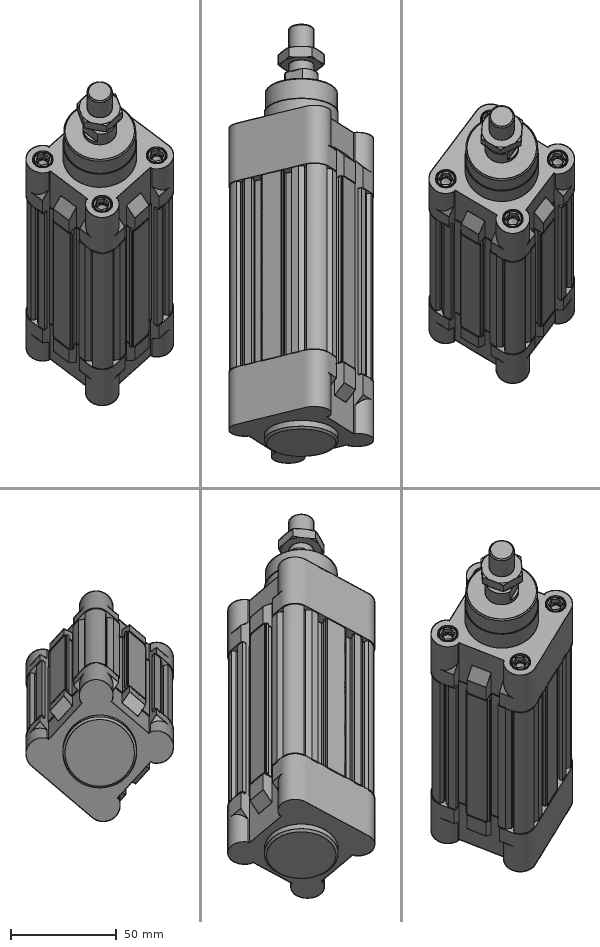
import cadquery as cq
import math

Z_LOWER_CAP = 4.0
CAP_HEIGHT = 29.6
Z_UPPER_CAP_TOP = 159.0
Z_COLLAR_STEP = 169.8
Z_COLLAR_TOP = 180.5
Z_FLATS = 182.5
Z_ROD_SHOULDER = 189.1
Z_NUT = 194.3
NUT_HEIGHT = 5.5
Z_ROD_TOP = 213.0
Z_BARREL = Z_LOWER_CAP + CAP_HEIGHT
Z_BARREL_TOP = Z_UPPER_CAP_TOP - CAP_HEIGHT

CAP_WIDTH = 54.0
CAP_HALF = CAP_WIDTH / 2
BOSS_DIAMETER = 16.0
CORNER_RADIUS = BOSS_DIAMETER / 2
BOSS_CENTRE = CAP_HALF - CORNER_RADIUS
PANEL_HALF = 21.7
PANEL_HALF_WIDTH = 12.0
RIB_WIDTH = 10.0
CAP_FOOT_HEIGHT = 10.6
CLEARANCE = 2.1
RECESSED_SIDES = (0, 90, 270)

COLLAR_DIAMETER = 35.0
COLLAR_TOP_DIAMETER = 34.0
COLLAR_CHAMFER = 0.6
SPIGOT_CHAMFER = 1.0
ROD_DIAMETER = 16.0
ROD_FLATS = 13.0
THREAD_DIAMETER = 12.0
ROD_CHAMFER = 0.6
NUT_ACROSS_FLATS = 19.0
NUT_CHAMFER_WIDTH = 1.3
NUT_CHAMFER_HEIGHT = 0.5

RECESS_DIAMETER = 9.5
RECESS_DEPTH = 1.3
SCREW_DIAMETER = 9.0
SCREW_SUNK = 0.5
SCREW_CHAMFER = 0.5
SOCKET_ACROSS_FLATS = 6.0
SOCKET_DEPTH = 3.5
DRILL_DIAMETER = 5.0
DRILL_DEPTH = 4.3
DRILL_TIP_ANGLE = 118

BARREL_HALF = 26.6
SLOT_FLOOR = 22.2
CENTRE_RIB_HALF = 5.3
LIP = 0.9
LIP_THICKNESS = 2.0
LIP_STEP_WIDTH = 0.9
LIP_STEP_DEPTH = 0.6
SLOT_OUTER = 12.0
BARREL_SIDES = (0, 90, 180, 270)
GROOVE_START = 15.0
SLIT_START = 17.3
SLIT_END = 18.3
GROOVE_END = 19.5
GROOVE_DEPTH = 1.7
SLIT_DEPTH = 3.0


def cylinder(diameter, z_bottom, z_top):
    return cq.Workplane("XY").workplane(offset=z_bottom).circle(diameter / 2).extrude(z_top - z_bottom)


def turned_about_z(shape, angle):
    return shape.rotate((0, 0, 0), (0, 0, 1), angle)


def hexagon_corners(across_flats):
    """Distance across the corners of a hexagon."""
    return across_flats / math.cos(math.radians(30))


def rounded_square(half, radius, z_bottom, z_top):
    block = cq.Workplane("XY").workplane(offset=z_bottom).rect(2 * half, 2 * half).extrude(z_top - z_bottom)
    return block.edges("|Z").fillet(radius)


def recess_above_blocks():
    """Space on the -Y side above the sloping tops of the rib and corner blocks."""
    arc_angle = math.asin((BOSS_CENTRE - PANEL_HALF_WIDTH) / CORNER_RADIUS)
    y_corner = -BOSS_CENTRE - CORNER_RADIUS * math.cos(arc_angle)
    mid_x = BOSS_CENTRE - CORNER_RADIUS * math.sin(arc_angle / 2)
    mid_y = -BOSS_CENTRE - CORNER_RADIUS * math.cos(arc_angle / 2)
    y_clear = -CAP_HALF - CLEARANCE
    column = (
        cq.Workplane("XY")
        .moveTo(-PANEL_HALF_WIDTH, -PANEL_HALF)
        .lineTo(PANEL_HALF_WIDTH, -PANEL_HALF)
        .lineTo(PANEL_HALF_WIDTH, y_corner)
        .threePointArc((mid_x, mid_y), (BOSS_CENTRE, -CAP_HALF))
        .lineTo(BOSS_CENTRE, y_clear)
        .lineTo(-BOSS_CENTRE, y_clear)
        .lineTo(-BOSS_CENTRE, -CAP_HALF)
        .threePointArc((-mid_x, mid_y), (-PANEL_HALF_WIDTH, y_corner))
        .close()
        .extrude(CAP_HEIGHT)
    )
    slope_rise = CAP_HALF - PANEL_HALF
    above_slope = (
        cq.Workplane("YZ")
        .moveTo(y_clear, CAP_FOOT_HEIGHT - CLEARANCE)
        .lineTo(-PANEL_HALF, CAP_FOOT_HEIGHT + slope_rise)
        .lineTo(-PANEL_HALF, CAP_HEIGHT)
        .lineTo(y_clear, CAP_HEIGHT)
        .close()
        .extrude(CAP_HALF, both=True)
    )
    return column.intersect(above_slope)


def upward_cap():
    """End cap standing on Z = 0, its barrel face down."""
    cap = rounded_square(CAP_HALF, CORNER_RADIUS, 0, CAP_HEIGHT)
    above_blocks = recess_above_blocks()
    slot_width = PANEL_HALF_WIDTH - RIB_WIDTH / 2
    slot_centre = (PANEL_HALF_WIDTH + RIB_WIDTH / 2) / 2
    slots = (
        cq.Workplane("XY")
        .pushPoints([(-slot_centre, -CAP_HALF), (slot_centre, -CAP_HALF)])
        .rect(slot_width, 2 * (CAP_HALF - PANEL_HALF))
        .extrude(CAP_HEIGHT)
    )
    for angle in RECESSED_SIDES:
        for cutter in (above_blocks, slots):
            cap = cap.cut(turned_about_z(cutter, angle))
    return cap


def barrel_slot(side):
    """T-slot beside the centre rib of the -Y side, on the +X (1) or -X (-1) half."""
    y_lip_in = BARREL_HALF - LIP_THICKNESS
    y_lip_out = BARREL_HALF - LIP_STEP_DEPTH
    lip_left = CENTRE_RIB_HALF + LIP
    lip_right = SLOT_OUTER - LIP
    points = [
        (CENTRE_RIB_HALF, SLOT_FLOOR),
        (CENTRE_RIB_HALF, y_lip_in),
        (lip_left, y_lip_in),
        (lip_left, y_lip_out),
        (lip_left - LIP_STEP_WIDTH, y_lip_out),
        (lip_left - LIP_STEP_WIDTH, BARREL_HALF),
        (lip_right, BARREL_HALF),
        (lip_right, y_lip_in),
        (SLOT_OUTER, y_lip_in),
        (SLOT_OUTER, SLOT_FLOOR),
    ]
    return extrude_barrel_cut(points, side)


def barrel_groove(side):
    """Shallow groove with a narrow slit in its floor, between the T-slot and the round corner."""
    y_groove = BARREL_HALF - GROOVE_DEPTH
    y_slit = BARREL_HALF - SLIT_DEPTH
    points = [
        (GROOVE_START, BARREL_HALF),
        (SLIT_START, y_groove),
        (SLIT_START, y_slit),
        (SLIT_END, y_slit),
        (SLIT_END, y_groove),
        (GROOVE_END, BARREL_HALF),
    ]
    return extrude_barrel_cut(points, side)


def extrude_barrel_cut(points, side):
    outline = [(side * x, -y) for x, y in points]
    return (
        cq.Workplane("XY")
        .workplane(offset=Z_BARREL)
        .polyline(outline)
        .close()
        .extrude(Z_BARREL_TOP - Z_BARREL)
    )


def make_barrel():
    barrel = rounded_square(BARREL_HALF, BARREL_HALF - BOSS_CENTRE, Z_BARREL, Z_BARREL_TOP)
    for angle in BARREL_SIDES:
        for side in (-1, 1):
            for cutter in (barrel_slot(side), barrel_groove(side)):
                barrel = barrel.cut(turned_about_z(cutter, angle))
    return barrel


def screw_cutter():
    """Space around and inside one sunk screw end: a turned half section and a hexagon socket."""
    recess = RECESS_DIAMETER / 2
    screw = SCREW_DIAMETER / 2
    drill = DRILL_DIAMETER / 2
    tip_depth = DRILL_DEPTH + drill / math.tan(math.radians(DRILL_TIP_ANGLE / 2))
    turned = (
        cq.Workplane("XZ")
        .moveTo(0, 0)
        .lineTo(recess, 0)
        .lineTo(recess, -RECESS_DEPTH)
        .lineTo(screw, -RECESS_DEPTH)
        .lineTo(screw, -SCREW_SUNK - SCREW_CHAMFER)
        .lineTo(screw - SCREW_CHAMFER, -SCREW_SUNK)
        .lineTo(drill, -SCREW_SUNK)
        .lineTo(drill, -DRILL_DEPTH)
        .lineTo(0, -tip_depth)
        .close()
        .revolve(360, (0, 0, 0), (0, 1, 0))
    )
    across_corners = hexagon_corners(SOCKET_ACROSS_FLATS)
    socket = cq.Workplane("XY").polygon(6, across_corners).extrude(-SOCKET_DEPTH)
    return turned.union(socket)


def make_housing():
    cap = upward_cap()
    upper_cap = cap.translate((0, 0, Z_BARREL_TOP))
    lower_cap = cap.mirror("XY").translate((0, 0, Z_BARREL))
    spigot = cylinder(COLLAR_DIAMETER, 0, Z_LOWER_CAP).faces("<Z").chamfer(SPIGOT_CHAMFER)
    collar = cylinder(COLLAR_DIAMETER, Z_UPPER_CAP_TOP, Z_COLLAR_STEP)
    collar_top = cylinder(COLLAR_TOP_DIAMETER, Z_COLLAR_STEP, Z_COLLAR_TOP)
    collar_top = collar_top.faces(">Z").chamfer(COLLAR_CHAMFER)
    housing = make_barrel()
    for piece in (upper_cap, lower_cap, spigot, collar, collar_top):
        housing = housing.union(piece)
    cutter = screw_cutter()
    for x_side in (-1, 1):
        for y_side in (-1, 1):
            place = (x_side * BOSS_CENTRE, y_side * BOSS_CENTRE, Z_UPPER_CAP_TOP)
            housing = housing.cut(cutter.translate(place))
    return housing.cut(cylinder(ROD_DIAMETER, Z_UPPER_CAP_TOP, Z_COLLAR_TOP))


def make_rod():
    """Piston rod seated in the collar, with two wrench flats and a plain threaded end."""
    rod = cylinder(ROD_DIAMETER, Z_UPPER_CAP_TOP, Z_ROD_SHOULDER)
    between_flats = (
        cq.Workplane("XY")
        .workplane(offset=Z_FLATS)
        .rect(ROD_DIAMETER, ROD_FLATS)
        .extrude(Z_ROD_SHOULDER - Z_FLATS)
    )
    below_flats = cylinder(ROD_DIAMETER, Z_UPPER_CAP_TOP, Z_FLATS)
    rod = rod.intersect(between_flats.union(below_flats))
    thread = cylinder(THREAD_DIAMETER, Z_ROD_SHOULDER, Z_ROD_TOP).faces(">Z").chamfer(ROD_CHAMFER)
    return rod.union(thread)


def make_nut():
    """Hexagon nut with flats facing +X and -X and corners chamfered at both ends."""
    across_corners = hexagon_corners(NUT_ACROSS_FLATS)
    base = cq.Workplane("XY").workplane(offset=Z_NUT)
    hexagon = base.transformed(rotate=(0, 0, 90)).polygon(6, across_corners).extrude(NUT_HEIGHT)
    envelope = cylinder(across_corners, Z_NUT, Z_NUT + NUT_HEIGHT)
    envelope = envelope.faces(">Z").chamfer(NUT_CHAMFER_HEIGHT, NUT_CHAMFER_WIDTH)
    envelope = envelope.faces("<Z").chamfer(NUT_CHAMFER_HEIGHT, NUT_CHAMFER_WIDTH)
    bore = cylinder(THREAD_DIAMETER, Z_NUT, Z_NUT + NUT_HEIGHT)
    return hexagon.intersect(envelope).cut(bore)


housing = make_housing()
rod = make_rod()
nut = make_nut()

result = cq.Compound.makeCompound([housing.val(), rod.val(), nut.val()])